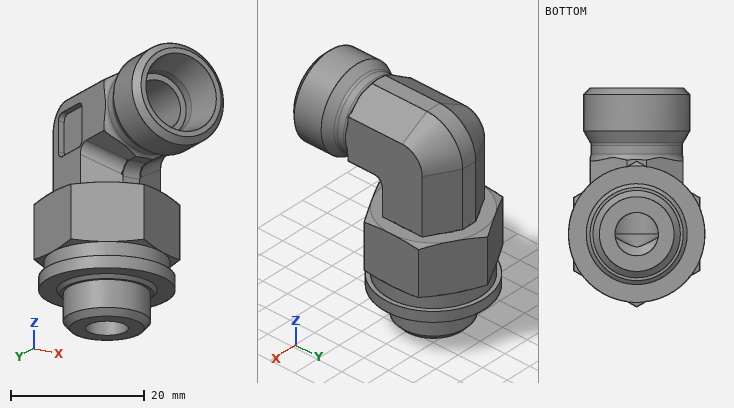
import cadquery as cq
import math

total_height = 39.0
socket_diameter = 16.0
axis_height = total_height - socket_diameter / 2
socket_reach = 22.0

hexagon_half_angle = math.radians(30)

bar_width = 14.0
bar_height = 14.45
bar_half_side = bar_width / 2 * math.tan(hexagon_half_angle)
bar_corner_radius = bar_width / 2 / math.cos(hexagon_half_angle)
bar_flat_half = (bar_corner_radius - bar_height / 2) / math.tan(hexagon_half_angle)
inner_corner_radius = 2.0

neck_diameter = 13.73
neck_start = 12.0
neck_end = 13.3
neck_fillet = 1.0
bar_leg_end = neck_start
shoulder_angle = math.radians(30)
socket_chamfer = 1.0

mouth_diameter = 12.3
tube_diameter = 10.0
mouth_half_angle = math.radians(12)
tube_seat_depth = 7.0
bore_diameter = 8.0
drill_half_angle = math.radians(59)

spigot_diameter = 13.15
spigot_tip_diameter = 11.25
spigot_chamfer_height = 1.05
spigot_bore_diameter = 6.5

badge_size = 7.0
badge_offset = 1.0
badge_corner_radius = 1.0
badge_depth = 1.0

washer_diameter = 20.55
washer_bottom = 6.1
washer_top = 8.07
lip_bottom = 5.5
lip_bottom_diameter = 14.0
lip_top_diameter = lip_bottom_diameter + 2 * (washer_bottom - lip_bottom)

nut_width = 19.0
nut_bottom = washer_top
nut_hex_bottom = 10.53
nut_top = 20.0
nut_chamfer_height = 0.4
nut_mouth_diameter = 14.1


def revolve_about_z(points):
    """Turn a closed (radius, z) outline about the Z axis."""
    return cq.Workplane("XZ").polyline(points).close().revolve(360, (0, 0, 0), (0, 1, 0))


def along_socket(shape):
    """Move a shape built along +Z from the origin onto the socket axis, pointing toward -Y."""
    return shape.rotate((0, 0, 0), (1, 0, 0), 90).translate((0, 0, axis_height))


def bar_half_outline(plane):
    """Upper half of the bar section, from the bar axis to the flat top."""
    return plane.polyline([
        (-bar_width / 2, 0),
        (-bar_width / 2, bar_half_side),
        (-bar_flat_half, bar_height / 2),
        (bar_flat_half, bar_height / 2),
        (bar_width / 2, bar_half_side),
        (bar_width / 2, 0),
    ]).close()


def bar_leg(length):
    """Full bar section extruded along +Z from the origin."""
    half = bar_half_outline(cq.Workplane("XY")).extrude(length)
    return half.union(half.mirror("XZ")).clean()


def elbow_bar():
    """Two bar legs joined by a turned outer bend and a filleted inner corner."""
    down_leg = bar_leg(axis_height - nut_top).translate((0, 0, nut_top))
    side_leg = along_socket(bar_leg(bar_leg_end))
    bend = (
        bar_half_outline(cq.Workplane("XZ"))
        .revolve(360, (0, 0, 0), (1, 0, 0))
        .translate((0, 0, axis_height))
    )
    bar = down_leg.union(side_leg).union(bend).clean()
    margin = 0.4
    near = bar_half_side + margin
    far = bar_height / 2 + margin
    corner_finder = cq.selectors.BoxSelector(
        (-bar_width / 2, -far, axis_height - far),
        (bar_width / 2, -near, axis_height - near),
    )
    return bar.edges(corner_finder).fillet(inner_corner_radius)


def socket_outside():
    """Round neck, shoulder cone and chamfered socket, as a solid of revolution."""
    neck_radius = neck_diameter / 2
    socket_radius = socket_diameter / 2
    arc_end_radius = neck_radius + neck_fillet * (1 - math.cos(shoulder_angle))
    arc_end = neck_end + neck_fillet * math.sin(shoulder_angle)
    half_angle = shoulder_angle / 2
    arc_middle_radius = neck_radius + neck_fillet * (1 - math.cos(half_angle))
    arc_middle = neck_end + neck_fillet * math.sin(half_angle)
    shoulder_end = arc_end + (socket_radius - arc_end_radius) / math.tan(shoulder_angle)
    profile = (
        cq.Workplane("XZ")
        .moveTo(0, 0)
        .lineTo(neck_radius, 0)
        .lineTo(neck_radius, neck_end)
        .threePointArc((arc_middle_radius, arc_middle), (arc_end_radius, arc_end))
        .lineTo(socket_radius, shoulder_end)
        .lineTo(socket_radius, socket_reach - socket_chamfer)
        .lineTo(socket_radius - socket_chamfer, socket_reach)
        .lineTo(0, socket_reach)
        .close()
    )
    return along_socket(profile.revolve(360, (0, 0, 0), (0, 1, 0)))


def bar_end_trim():
    """Ring that rounds the end of the bar down to the neck with a hollow fillet."""
    neck_radius = neck_diameter / 2
    clear_radius = bar_width
    trim_start = neck_start - neck_fillet
    diagonal = neck_fillet * math.sqrt(0.5)
    profile = (
        cq.Workplane("XZ")
        .moveTo(neck_radius, neck_start)
        .threePointArc(
            (neck_radius + neck_fillet - diagonal, neck_start - diagonal),
            (neck_radius + neck_fillet, trim_start),
        )
        .lineTo(clear_radius, trim_start)
        .lineTo(clear_radius, bar_leg_end)
        .lineTo(neck_radius, bar_leg_end)
        .close()
    )
    return along_socket(profile.revolve(360, (0, 0, 0), (0, 1, 0)))


def socket_bore():
    """Tapered mouth, tube seat and bore whose pointed end starts at the spigot axis."""
    taper_depth = (mouth_diameter - tube_diameter) / 2 / math.tan(mouth_half_angle)
    bore_radius = bore_diameter / 2
    tube_seat = socket_reach - tube_seat_depth
    return along_socket(revolve_about_z([
        (0, -bore_radius / math.tan(drill_half_angle)),
        (bore_radius, 0),
        (bore_radius, tube_seat),
        (tube_diameter / 2, tube_seat),
        (tube_diameter / 2, socket_reach - taper_depth),
        (mouth_diameter / 2, socket_reach),
        (0, socket_reach),
    ]))


def spigot():
    """Round stem below the bar, chamfered at its tip."""
    return revolve_about_z([
        (0, 0),
        (spigot_tip_diameter / 2, 0),
        (spigot_diameter / 2, spigot_chamfer_height),
        (spigot_diameter / 2, nut_top),
        (0, nut_top),
    ])


def spigot_bore():
    """Bore from the spigot tip up to the socket axis, with a pointed end."""
    radius = spigot_bore_diameter / 2
    bore = revolve_about_z([
        (0, 0),
        (radius, 0),
        (radius, axis_height),
        (0, axis_height + radius / math.tan(drill_half_angle)),
    ])
    return bore.rotate((0, 0, 0), (0, 0, 1), 90)


def badge_recess():
    """Shallow square pocket with rounded corners in the -X face."""
    return (
        cq.Workplane("XY")
        .box(badge_depth, badge_size, badge_size, centered=(False, True, True))
        .edges("|X")
        .fillet(badge_corner_radius)
        .translate((-bar_width / 2, -badge_offset, axis_height - badge_offset))
    )


def make_elbow():
    body = elbow_bar().cut(bar_end_trim()).union(socket_outside()).union(spigot())
    return body.cut(socket_bore()).cut(spigot_bore()).cut(badge_recess())


def make_nut():
    """Hexagon chamfered at both ends, with a collar below and a countersunk hole."""
    flat_radius = nut_width / 2
    corner_radius = flat_radius / math.cos(hexagon_half_angle)
    hexagon = (
        cq.Workplane("XY", origin=(0, 0, nut_hex_bottom))
        .polygon(6, 2 * corner_radius)
        .extrude(nut_top - nut_hex_bottom)
        .rotate((0, 0, 0), (0, 0, 1), 30)
    )
    chamfered_blank = revolve_about_z([
        (0, nut_hex_bottom),
        (flat_radius, nut_hex_bottom),
        (corner_radius, nut_hex_bottom + nut_chamfer_height),
        (corner_radius, nut_top - nut_chamfer_height),
        (flat_radius, nut_top),
        (0, nut_top),
    ])
    collar = (
        cq.Workplane("XY", origin=(0, 0, nut_bottom))
        .circle(flat_radius)
        .extrude(nut_hex_bottom - nut_bottom)
    )
    hole_radius = spigot_diameter / 2
    mouth_radius = nut_mouth_diameter / 2
    hole = revolve_about_z([
        (0, nut_bottom),
        (hole_radius, nut_bottom),
        (hole_radius, nut_top - (mouth_radius - hole_radius)),
        (mouth_radius, nut_top),
        (0, nut_top),
    ])
    return hexagon.intersect(chamfered_blank).union(collar).cut(hole)


def make_sealing_ring():
    hole_radius = spigot_diameter / 2
    return revolve_about_z([
        (hole_radius, lip_bottom),
        (lip_bottom_diameter / 2, lip_bottom),
        (lip_top_diameter / 2, washer_bottom),
        (washer_diameter / 2, washer_bottom),
        (washer_diameter / 2, washer_top),
        (hole_radius, washer_top),
    ])


elbow = make_elbow()
nut = make_nut()
sealing_ring = make_sealing_ring()

result = cq.Compound.makeCompound([elbow.val(), nut.val(), sealing_ring.val()])